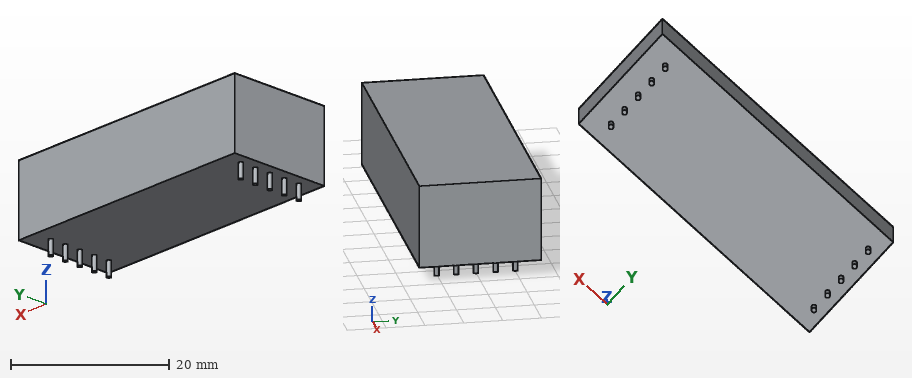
import cadquery as cq

case_length = 39.6
case_width = 15.7
overall_height = 13.2
pin_length = 2.2
case_height = overall_height - pin_length

pin_diameter = 0.65
pins_per_row = 5
pin_pitch = 2.55
left_row_inset = 1.8
row_spacing = 34.8
left_row_x = -case_length / 2 + left_row_inset
row_positions = (left_row_x, left_row_x + row_spacing)


def make_case():
    """Plain block with its underside on Z = 0."""
    return cq.Workplane("XY").box(case_length, case_width, case_height, centered=(True, True, False))


def make_pins():
    """Pins hanging from the underside, each row centred across the width."""
    first_pin_y = -pin_pitch * (pins_per_row - 1) / 2
    centres = [
        (row_x, first_pin_y + index * pin_pitch)
        for row_x in row_positions
        for index in range(pins_per_row)
    ]
    return cq.Workplane("XY").pushPoints(centres).circle(pin_diameter / 2).extrude(-pin_length)


result = make_case().union(make_pins())